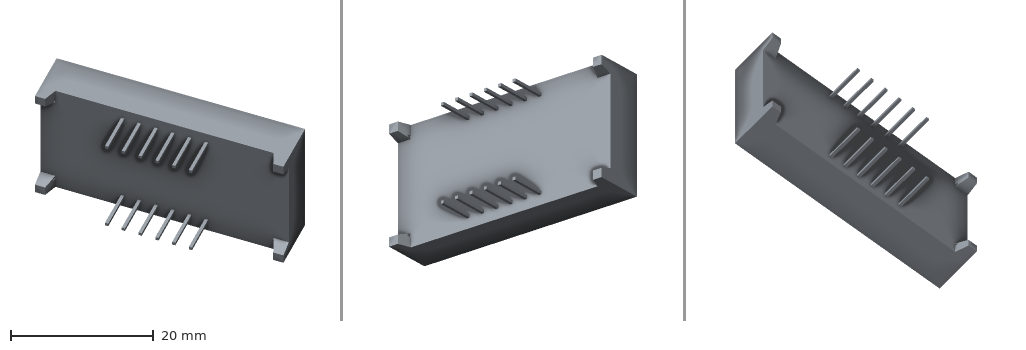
import cadquery as cq

length = 37.6
height = 19.0
body_depth = 6.1

foot_rise = 2.03
foot_base_x = 2.3
foot_base_z = 2.18
foot_tip_x = 1.55
foot_tip_z = 1.45

notch_start_x = 2.1
notch_start_z = 1.6
notch_end_z = 2.05

overall_depth = 12.1
pin_width = 0.5
row_spacing = 15.23
pin_pitch = row_spacing / 6
pins_per_row = 6

mount_y = -body_depth
side_x = length / 2
side_z = height / 2


def box_between(x_range, y_range, z_range):
    """Axis-aligned box filling the given (low, high) ranges."""
    spans = [high - low for low, high in (x_range, y_range, z_range)]
    corner = cq.Vector(x_range[0], y_range[0], z_range[0])
    return cq.Workplane(cq.Solid.makeBox(*spans, corner))


def make_foot():
    """Foot at the +X, +Z corner: its two inner faces slope and meet in a mitre."""
    foot_tip_y = mount_y - foot_rise
    slope_along_x = (
        cq.Workplane("XY", origin=(0, 0, side_z - foot_base_z))
        .moveTo(side_x, mount_y)
        .lineTo(side_x - foot_base_x, mount_y)
        .lineTo(side_x - foot_tip_x, foot_tip_y)
        .lineTo(side_x, foot_tip_y)
        .close()
        .extrude(foot_base_z)
    )
    slope_along_z = (
        cq.Workplane("YZ", origin=(side_x - foot_base_x, 0, 0))
        .moveTo(mount_y, side_z)
        .lineTo(mount_y, side_z - foot_base_z)
        .lineTo(foot_tip_y, side_z - foot_tip_z)
        .lineTo(foot_tip_y, side_z)
        .close()
        .extrude(foot_base_x)
    )
    notch = box_between(
        (side_x - foot_base_x, side_x - notch_start_x),
        (foot_tip_y, mount_y),
        (side_z - notch_end_z, side_z - notch_start_z),
    )
    return slope_along_x.intersect(slope_along_z).cut(notch)


def make_pins():
    """Both rows of pins, running from the mounting face to the full depth."""
    return (
        cq.Workplane("XZ", origin=(0, mount_y, 0))
        .rarray(pin_pitch, row_spacing, pins_per_row, 2)
        .rect(pin_width, pin_width)
        .extrude(overall_depth - body_depth)
    )


body = box_between((-side_x, side_x), (mount_y, 0), (-side_z, side_z))

upper_right_foot = make_foot()
upper_left_foot = upper_right_foot.mirror("YZ")
result = body.union(upper_right_foot).union(upper_left_foot)
for upper_foot in (upper_right_foot, upper_left_foot):
    result = result.union(upper_foot.mirror("XY"))

result = result.union(make_pins())